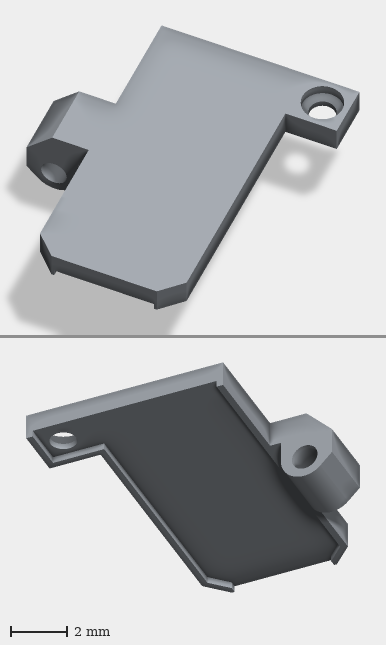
import cadquery as cq
import math

plate_width = 5.7
plate_length = 11.48
plate_thickness = 1.0
tip_chamfer = 0.8

tab_size = 2.0
bore_diameter = 1.55
screw_hole_diameter = 1.0
bore_depth = 0.38
cone_depth = 0.14

rim_width = 0.25
recess_depth = 0.25

arm_length = 2.42
arm_width = 2.38
arm_back_offset = 4.02
knuckle_width = 2.0
knuckle_drop = 1.73
knuckle_radius = 1.8 / 2
arm_chamfer = 1.0
pin_hole_diameter = 1.0
pin_from_arm_end = 1.07
pin_below_plate = 0.91

right_edge = plate_width + tab_size
tab_front = plate_length - tab_size


def make_plate():
    return (
        cq.Workplane("XY")
        .moveTo(tip_chamfer, 0)
        .lineTo(plate_width - tip_chamfer, 0)
        .lineTo(plate_width, tip_chamfer)
        .lineTo(plate_width, tab_front)
        .lineTo(right_edge, tab_front)
        .lineTo(right_edge, plate_length)
        .lineTo(0, plate_length)
        .lineTo(0, tip_chamfer)
        .close()
        .extrude(plate_thickness)
    )


def make_hinge():
    arm_end = -arm_length
    knuckle_right = arm_end + knuckle_width
    center_x = knuckle_right - knuckle_radius
    center_z = knuckle_radius - knuckle_drop
    diagonal = knuckle_radius * math.sqrt(0.5)
    tangent_x = center_x - diagonal
    tangent_z = center_z - diagonal
    flat_top_z = tangent_z + tangent_x - arm_end
    arm_back = plate_length - arm_back_offset

    hinge = (
        cq.Workplane("XZ", origin=(0, arm_back, 0))
        .moveTo(0, 0)
        .lineTo(0, plate_thickness)
        .lineTo(arm_end + arm_chamfer, plate_thickness)
        .lineTo(arm_end, plate_thickness - arm_chamfer)
        .lineTo(arm_end, flat_top_z)
        .lineTo(tangent_x, tangent_z)
        .threePointArc((center_x + diagonal, center_z - diagonal), (knuckle_right, center_z))
        .lineTo(knuckle_right, 0)
        .close()
        .extrude(arm_width)
    )
    pin_hole = (
        cq.Workplane("XZ", origin=(0, arm_back, 0))
        .center(arm_end + pin_from_arm_end, -pin_below_plate)
        .circle(pin_hole_diameter / 2)
        .extrude(arm_width)
    )
    return hinge.cut(pin_hole)


def make_recess():
    """Outline set in by the rim on the sides, and open at the tip and back ends."""
    corner_shift = rim_width * math.tan(math.radians(22.5))
    opening_left = tip_chamfer + corner_shift
    opening_right = plate_width - opening_left
    inner_right = plate_width - rim_width
    chamfer_end = tip_chamfer + corner_shift
    return (
        cq.Workplane("XY")
        .moveTo(opening_left, 0)
        .lineTo(opening_right, 0)
        .lineTo(opening_right, rim_width)
        .lineTo(inner_right, chamfer_end)
        .lineTo(inner_right, tab_front + rim_width)
        .lineTo(right_edge - rim_width, tab_front + rim_width)
        .lineTo(right_edge - rim_width, plate_length)
        .lineTo(rim_width, plate_length)
        .lineTo(rim_width, chamfer_end)
        .lineTo(opening_left, rim_width)
        .close()
        .extrude(recess_depth)
    )


def make_screw_hole():
    """Straight bore, conical seat and through hole, revolved about the tab centre."""
    bore_radius = bore_diameter / 2
    hole_radius = screw_hole_diameter / 2
    seat_top = plate_thickness - bore_depth
    seat_bottom = seat_top - cone_depth
    return (
        cq.Workplane("XZ")
        .moveTo(0, 0)
        .lineTo(hole_radius, 0)
        .lineTo(hole_radius, seat_bottom)
        .lineTo(bore_radius, seat_top)
        .lineTo(bore_radius, plate_thickness)
        .lineTo(0, plate_thickness)
        .close()
        .revolve(360, (0, 0, 0), (0, 1, 0))
        .translate((right_edge - tab_size / 2, plate_length - tab_size / 2, 0))
    )


result = make_plate().cut(make_recess()).union(make_hinge()).cut(make_screw_hole())